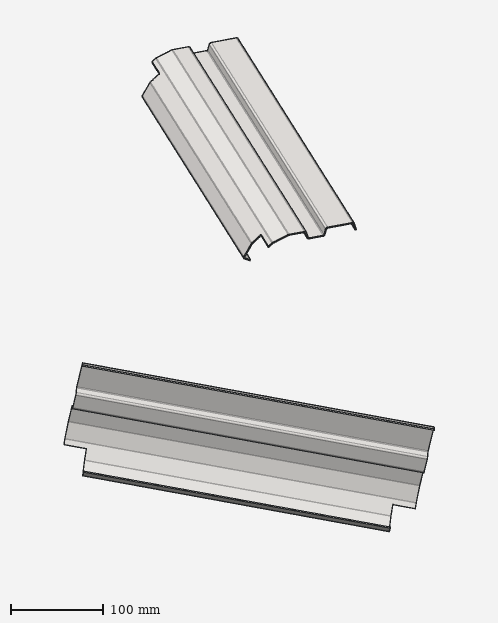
import cadquery as cq
import math

length = 390.0
depth = 121.3
thickness = 1.5
inner_bend_radius = 1.0
outer_bend_radius = inner_bend_radius + thickness

wall_angle = 75.0
back_flange_run = 10.5
back_shelf_run = 32.5
groove_wall_run = 9.8
groove_floor_run = 17.5
front_shelf_run = 20.3
hood_run = 20.0
nose_run = 20.3
lip_run = 9.8

hood_step = 20.0
nose_heading = -3 * hood_step
runs = [
    (back_flange_run, wall_angle),
    (back_shelf_run, 0),
    (groove_wall_run, -wall_angle),
    (groove_floor_run, 0),
    (groove_wall_run, wall_angle),
    (front_shelf_run, 0),
    (hood_run, -hood_step),
    (hood_run, -2 * hood_step),
    (nose_run, nose_heading),
    (lip_run, nose_heading - 90),
]

notch_length = 25.0
notch_start = 101.0

back_y = depth / 2
flange_height = back_flange_run * math.sin(math.radians(wall_angle))


def upper_corners():
    """Sharp corners of the upper surface, from the back edge to the lip."""
    y, z = back_y, -flange_height
    corners = [(y, z)]
    for run, heading in runs:
        y -= run * math.cos(math.radians(heading))
        z += run * math.sin(math.radians(heading))
        corners.append((y, z))
    return corners


def lower_corners(corners):
    """Upper corners moved through the sheet, mitred at every bend."""
    headings = [heading for _, heading in runs]
    before = [headings[0]] + headings
    after = headings + [headings[-1]]
    lower = []
    for (y, z), first, second in zip(corners, before, after):
        middle = math.radians((first + second) / 2)
        mitre = thickness / math.cos(math.radians((second - first) / 2))
        lower.append((y - mitre * math.sin(middle), z - mitre * math.cos(middle)))
    return lower


def bend(outline, corner, heading_in, heading_out, radius):
    """Draw up to a corner and round it with a tangent arc."""
    y, z = corner
    half_turn = math.radians(abs(heading_out - heading_in) / 2)
    setback = radius * math.tan(half_turn)
    start, end = math.radians(heading_in), math.radians(heading_out)
    arc_start = (y + setback * math.cos(start), z - setback * math.sin(start))
    arc_end = (y - setback * math.cos(end), z + setback * math.sin(end))
    return outline.lineTo(*arc_start).tangentArcPoint(arc_end, relative=False)


def sheet():
    """Folded sheet of constant section along X."""
    upper = upper_corners()
    lower = lower_corners(upper)
    headings = [heading for _, heading in runs]
    outline = cq.Workplane("YZ", origin=(-length / 2, 0, 0)).moveTo(*upper[0])

    for i in range(1, len(runs)):
        folds_down = headings[i] < headings[i - 1]
        radius = outer_bend_radius if folds_down else inner_bend_radius
        outline = bend(outline, upper[i], headings[i - 1], headings[i], radius)
    outline = outline.lineTo(*upper[-1]).lineTo(*lower[-1])

    for i in range(len(runs) - 1, 0, -1):
        folds_down = headings[i] < headings[i - 1]
        radius = inner_bend_radius if folds_down else outer_bend_radius
        outline = bend(outline, lower[i], headings[i] + 180, headings[i - 1] + 180, radius)
    return outline.lineTo(*lower[0]).close().extrude(length)


def end_notch(side):
    """Cutter for the front corner at one end (side is -1 or 1)."""
    return (
        cq.Workplane("XY")
        .box(notch_length, depth, depth)
        .translate((side * (length - notch_length) / 2, back_y - notch_start - depth / 2, 0))
    )


result = sheet()
for side in (-1, 1):
    result = result.cut(end_notch(side))